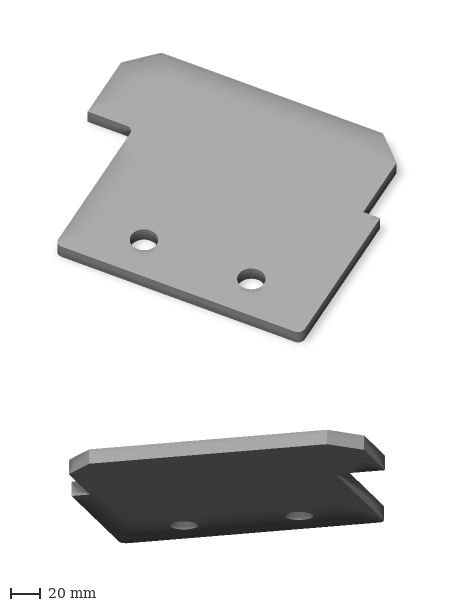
import cadquery as cq

length = 218.0
width = 188.0
thickness = 10.0

left_step = 34.2
right_step = 12.6
step_height = 118.0
chamfer = 20.0
corner_radius = 5.0

hole_diameter = 19.0
hole_spacing = 80.0
first_hole_x = 85.7
hole_y = 30.0

upper_right_x = length - right_step
outline = [
    (left_step, 0),
    (length, 0),
    (length, step_height),
    (upper_right_x, step_height),
    (upper_right_x, width - chamfer),
    (upper_right_x - chamfer, width),
    (chamfer, width),
    (0, width - chamfer),
    (0, step_height),
    (left_step, step_height),
]
plate = cq.Workplane("XY").polyline(outline).close().extrude(thickness)

rounded_corners = [(left_step, 0), (length, 0), (left_step, step_height)]
for x, y in rounded_corners:
    corner_edge = cq.selectors.NearestToPointSelector((x, y, thickness / 2))
    plate = plate.edges("|Z").edges(corner_edge).fillet(corner_radius)

hole_centers = [(first_hole_x, hole_y), (first_hole_x + hole_spacing, hole_y)]
holes = (
    cq.Workplane("XY")
    .pushPoints(hole_centers)
    .circle(hole_diameter / 2)
    .extrude(thickness)
)

result = plate.cut(holes)